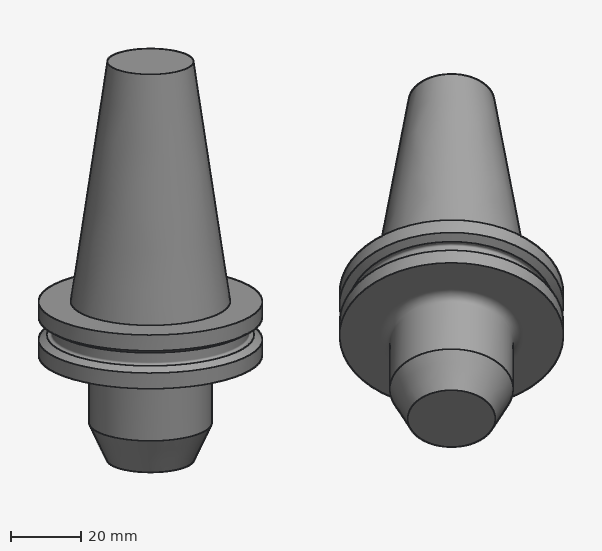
import cadquery as cq
import math

total_height = 118.4
nose_cone_height = 11.0
taper_length = 71.4
flange_height = 16.0
flange_top = total_height - taper_length
flange_bottom = flange_top - flange_height

flange_radius = 63.6 / 2
groove_radius = 56.0 / 2
taper_large_radius = 45.3 / 2
taper_small_radius = 24.5 / 2
nose_radius = 35.0 / 2
nose_tip_radius = 24.9 / 2

groove_mouth_width = 6.6
groove_wall_angle = 30.0
groove_shoulder_width = 1.4
groove_root_fillet = 0.6

nose_fillet = 2.8


def make_holder_body():
    """Revolve the tapered shank, flange and nose about Z."""
    return (
        cq.Workplane("XZ")
        .moveTo(0, 0)
        .lineTo(nose_tip_radius, 0)
        .lineTo(nose_radius, nose_cone_height)
        .lineTo(nose_radius, flange_bottom - nose_fillet)
        .radiusArc((nose_radius + nose_fillet, flange_bottom), nose_fillet)
        .lineTo(flange_radius, flange_bottom)
        .lineTo(flange_radius, flange_top)
        .lineTo(taper_large_radius, flange_top)
        .lineTo(taper_small_radius, total_height)
        .lineTo(0, total_height)
        .close()
        .revolve(360, (0, 0, 0), (0, 1, 0))
    )


def make_groove_cutter():
    """Ring that cuts the gripper groove around the flange."""
    centre = flange_top - flange_height / 2
    shoulder_radius = groove_radius + groove_shoulder_width
    wall_drop = (flange_radius - shoulder_radius) * math.tan(math.radians(groove_wall_angle))
    mouth_half = groove_mouth_width / 2
    floor_half = mouth_half - wall_drop
    root_half = floor_half - groove_root_fillet
    root_radius = groove_radius + groove_root_fillet
    return (
        cq.Workplane("XZ")
        .moveTo(flange_radius, centre - mouth_half)
        .lineTo(shoulder_radius, centre - floor_half)
        .lineTo(root_radius, centre - floor_half)
        .radiusArc((groove_radius, centre - root_half), groove_root_fillet)
        .lineTo(groove_radius, centre + root_half)
        .radiusArc((root_radius, centre + floor_half), groove_root_fillet)
        .lineTo(shoulder_radius, centre + floor_half)
        .lineTo(flange_radius, centre + mouth_half)
        .close()
        .revolve(360, (0, 0, 0), (0, 1, 0))
    )


result = make_holder_body().cut(make_groove_cutter())